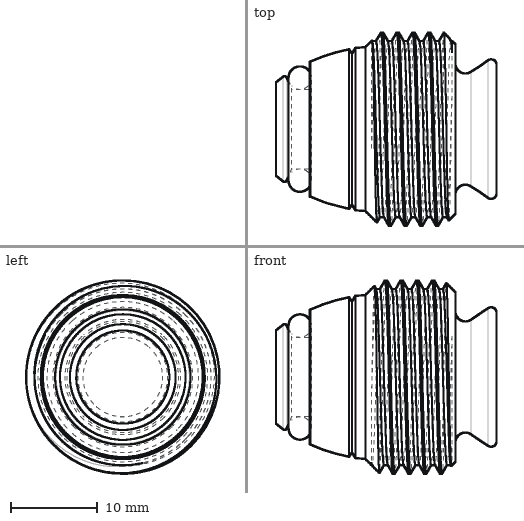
import cadquery as cq
import math

AXIS_START = (0, 0, 0)
AXIS_END = (1, 0, 0)

overall_length = 25.46

ring_section_radius = 1.33
ring_outer_radius = 7.24
ring_x = 2.79
ring_centre_radius = ring_outer_radius - ring_section_radius

nose_tip_radius = 5.37
lip_centre_x = 1.01
lip_centre_radius = 5.82
lip_round = 0.28
lip_front_slope = math.radians(38.7)
lip_back_slope = math.radians(67)

groove_floor_radius = ring_centre_radius - ring_section_radius

shoulder_x = 3.89
shoulder_edge_round = 0.13
dome_start_radius = 7.81
dome_end_x = 8.45
dome_end_radius = 9.21
dome_bulge = 0.14

v_groove_bottom_x = 8.78
v_groove_bottom_radius = 8.72
collar_start_x = 9.17
collar_start_radius = 9.37
collar_end_x = 10.33
collar_end_radius = 9.46

thread_major_radius = 11.15
thread_pitch = 25.4 / 14
thread_crest_width = thread_pitch / 8
thread_root_width = thread_pitch / 4
flank_tangent = math.tan(math.radians(30))
flank_run = (thread_pitch - thread_crest_width - thread_root_width) / 2
thread_root_radius = thread_major_radius - flank_run / flank_tangent
thread_crest_x = 12.69
cutter_clearance = 0.1
cutter_turns = 7
cutter_lead = 1.5 * thread_pitch

lead_end_x = collar_end_x + thread_major_radius - collar_end_radius
body_end_x = 20.71
body_end_radius = 9.78
tail_chamfer_x = body_end_x - (thread_major_radius - body_end_radius)

neck_radius = 6.42
neck_round = 1.13
flare_slope = math.radians(35)
head_round = 0.65
head_outer_radius = 8.05


def point_on_circle(centre, radius, angle):
    """Point at an angle measured from +radius towards +X."""
    return (centre[0] + radius * math.sin(angle), centre[1] + radius * math.cos(angle))


def make_ring():
    axis_start = (-ring_x, -ring_centre_radius, 0)
    axis_end = (0, -ring_centre_radius, 0)
    return (
        cq.Workplane("XZ")
        .center(ring_x, ring_centre_radius)
        .circle(ring_section_radius)
        .revolve(360, axis_start, axis_end)
    )


def make_plug_blank():
    lip_centre = (lip_centre_x, lip_centre_radius)
    lip_start = point_on_circle(lip_centre, lip_round, -lip_front_slope)
    lip_top = point_on_circle(lip_centre, lip_round, 0)
    lip_end = point_on_circle(lip_centre, lip_round, lip_back_slope)
    lip_back_run = (lip_end[1] - groove_floor_radius) / math.tan(lip_back_slope)

    dome_start_x = shoulder_x + shoulder_edge_round
    shoulder_flat_radius = dome_start_radius - shoulder_edge_round
    shoulder_centre = (dome_start_x, shoulder_flat_radius)
    shoulder_round_middle = point_on_circle(shoulder_centre, shoulder_edge_round, -math.pi / 4)
    dome_middle = (
        (dome_start_x + dome_end_x) / 2,
        (dome_start_radius + dome_end_radius) / 2 + dome_bulge,
    )

    neck_centre = (body_end_x + neck_round, neck_radius + neck_round)
    neck_wall_middle = point_on_circle(neck_centre, neck_round, -3 * math.pi / 4)
    neck_bottom = point_on_circle(neck_centre, neck_round, math.pi)
    neck_flare_middle = point_on_circle(neck_centre, neck_round, math.pi - flare_slope / 2)
    flare_start = point_on_circle(neck_centre, neck_round, math.pi - flare_slope)

    head_centre = (overall_length - head_round, head_outer_radius - head_round)
    flare_end = point_on_circle(head_centre, head_round, -flare_slope)
    head_top = point_on_circle(head_centre, head_round, 0)

    profile = (
        cq.Workplane("XZ")
        .moveTo(0, 0)
        .lineTo(0, nose_tip_radius)
        .lineTo(*lip_start)
        .threePointArc(lip_top, lip_end)
        .lineTo(lip_end[0] + lip_back_run, groove_floor_radius)
        .lineTo(shoulder_x, groove_floor_radius)
        .lineTo(shoulder_x, shoulder_flat_radius)
        .threePointArc(shoulder_round_middle, (dome_start_x, dome_start_radius))
        .threePointArc(dome_middle, (dome_end_x, dome_end_radius))
        .lineTo(v_groove_bottom_x, v_groove_bottom_radius)
        .lineTo(collar_start_x, collar_start_radius)
        .lineTo(collar_end_x, collar_end_radius)
        .lineTo(lead_end_x, thread_major_radius)
        .lineTo(tail_chamfer_x, thread_major_radius)
        .lineTo(body_end_x, body_end_radius)
        .lineTo(body_end_x, neck_centre[1])
        .threePointArc(neck_wall_middle, neck_bottom)
        .threePointArc(neck_flare_middle, flare_start)
        .lineTo(*flare_end)
        .threePointArc(head_top, (overall_length, head_centre[1]))
        .lineTo(overall_length, 0)
        .close()
    )
    return profile.revolve(360, AXIS_START, AXIS_END)


def make_thread_cutter():
    """Helical trapezoid as wide as the groove, reaching past the crests and both chamfers."""
    outer_radius = thread_major_radius + cutter_clearance
    root_half_width = thread_root_width / 2
    outer_half_width = root_half_width + (outer_radius - thread_root_radius) * flank_tangent
    helix = cq.Wire.makeHelix(thread_pitch, cutter_turns * thread_pitch, thread_root_radius)
    cutter = (
        cq.Workplane("XZ")
        .polyline(
            [
                (thread_root_radius, -root_half_width),
                (outer_radius, -outer_half_width),
                (outer_radius, outer_half_width),
                (thread_root_radius, root_half_width),
            ]
        )
        .close()
        .sweep(cq.Workplane(helix), isFrenet=True)
    )
    cutter = cutter.rotate((0, 0, 0), (0, 1, 0), 90).rotate((0, 0, 0), (1, 0, 0), 180)
    return cutter.translate((thread_crest_x - cutter_lead, 0, 0))


ring = make_ring()
plug = make_plug_blank().cut(make_thread_cutter()).cut(ring)

result = cq.Compound.makeCompound([plug.val(), ring.val()])